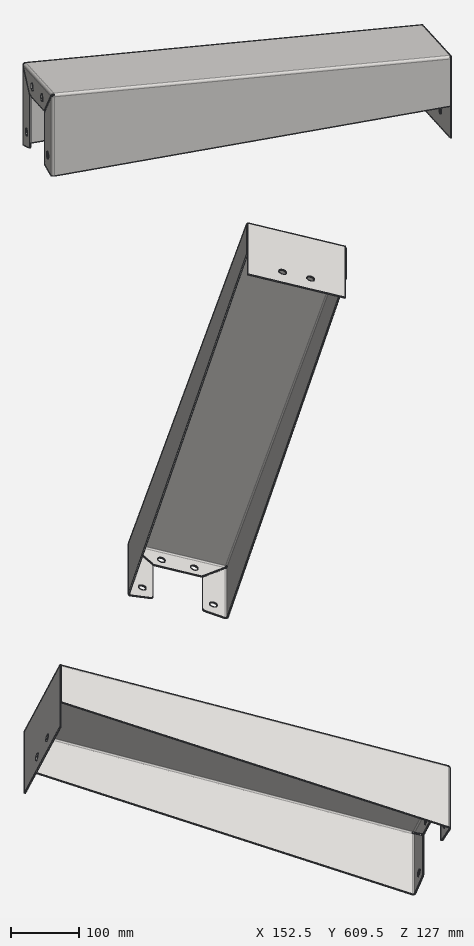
import cadquery as cq
import math

WIDTH = 152.5
LENGTH = 609.5
HEIGHT = 127.0

THICKNESS = 2.0
BEND_RADIUS = 4.0
BACK_BEND_RADIUS = 1.95
BACK_PLATE_INSET = 2.0
CORNER_RELIEF = 2.0

WALL_HEIGHT_BACK = 77.5

LIP_WIDTH = 38.5
LIP_END_RISE = 6.0
LIP_CORNER_RADIUS = 5.0
MITRE_GAP = 2.0

HOLE_DIAMETER = 11.5
UPPER_HOLE_X = 25.0
UPPER_HOLE_DEPTH = 22.0
LOWER_HOLE_DEPTH = 101.0
LIP_HOLE_X = 54.0
BACK_HOLE_X = 21.5

HALF_WIDTH = WIDTH / 2
BACK_INNER_Y = LENGTH - THICKNESS
INNER_RADIUS = BEND_RADIUS - THICKNESS


def box(x_size, y_start, y_end, z_bottom, z_top):
    """Block centred on X between the given Y and Z limits."""
    return cq.Workplane("XY").box(
        x_size, y_end - y_start, z_top - z_bottom, centered=(True, False, False)
    ).translate((0, y_start, z_bottom))


def front_cutter(outline):
    """Prism through the front lip from a closed list of (x, z) points."""
    return cq.Workplane("XZ").polyline(outline).close().extrude(-BEND_RADIUS)


def hole_cutter(centres, y_start, depth):
    """Round cutters running along Y at the given (x, z) centres."""
    return (
        cq.Workplane("XZ", origin=(0, y_start, 0))
        .pushPoints(centres)
        .circle(HOLE_DIAMETER / 2)
        .extrude(-depth)
    )


def make_shell():
    """Channel with a closed front, bent along the top, side and front edges."""
    outer = box(WIDTH, 0, BACK_INNER_Y, -HEIGHT, 0)
    outer = outer.edges("|Y and >Z").fillet(BEND_RADIUS)
    outer = outer.faces("<Y").edges("not <Z").fillet(BEND_RADIUS)
    inner = box(WIDTH - 2 * THICKNESS, THICKNESS, BACK_INNER_Y, -HEIGHT, -THICKNESS)
    inner = inner.edges("|Y and >Z").fillet(INNER_RADIUS)
    inner = inner.faces("<Y").edges("not <Z").fillet(INNER_RADIUS)
    return outer.cut(inner)


def wall_taper():
    """Wedge below the sloping lower edge of the side walls."""
    return (
        cq.Workplane("YZ")
        .polyline([(BEND_RADIUS, -HEIGHT), (BACK_INNER_Y, -WALL_HEIGHT_BACK), (BACK_INNER_Y, -HEIGHT)])
        .close()
        .extrude(HALF_WIDTH, both=True)
    )


def lip_opening():
    """Opening between the lips, with sloping ends on the two side lips."""
    inner_x = HALF_WIDTH - LIP_WIDTH
    bend_x = HALF_WIDTH - BEND_RADIUS
    end_z = -HEIGHT + LIP_END_RISE
    opening = front_cutter(
        [
            (-bend_x, -HEIGHT),
            (-inner_x, end_z),
            (-inner_x, -LIP_WIDTH),
            (inner_x, -LIP_WIDTH),
            (inner_x, end_z),
            (bend_x, -HEIGHT),
        ]
    )
    lip_corners = cq.selectors.BoxSelector(
        (-HALF_WIDTH, -6, end_z - THICKNESS), (HALF_WIDTH, LENGTH, end_z + THICKNESS)
    )
    return opening.edges("|Y").edges(lip_corners).fillet(LIP_CORNER_RADIUS)


def mitre_slot(side):
    """45 degree gap between the top lip and one side lip."""
    half_gap = MITRE_GAP / math.sqrt(2)
    corner_x = side * HALF_WIDTH
    tip_x = side * (HALF_WIDTH - LIP_WIDTH)
    return front_cutter(
        [
            (corner_x, half_gap),
            (corner_x, -half_gap),
            (tip_x, -LIP_WIDTH - half_gap),
            (tip_x, -LIP_WIDTH + half_gap),
        ]
    )


def corner_relief(side):
    """Square notch where the three bends meet at one front top corner."""
    size = 2 * CORNER_RELIEF
    return cq.Workplane("XY").box(size, size, size).translate((side * HALF_WIDTH, 0, 0))


shell = make_shell().cut(wall_taper()).cut(lip_opening())
for side in (-1, 1):
    shell = shell.cut(mitre_slot(side)).cut(corner_relief(side))

lip_holes = [(side * UPPER_HOLE_X, -UPPER_HOLE_DEPTH) for side in (-1, 1)]
lip_holes += [(side * LIP_HOLE_X, -LOWER_HOLE_DEPTH) for side in (-1, 1)]
shell = shell.cut(hole_cutter(lip_holes, 0, THICKNESS))

back_plate = box(WIDTH - 2 * BACK_PLATE_INSET, BACK_INNER_Y, LENGTH, -HEIGHT, 0)
back_plate = back_plate.faces(">Y").edges(">Z").fillet(BACK_BEND_RADIUS)
back_holes = [(side * BACK_HOLE_X, -LOWER_HOLE_DEPTH) for side in (-1, 1)]
back_plate = back_plate.cut(hole_cutter(back_holes, BACK_INNER_Y, THICKNESS))

result = shell.union(back_plate)